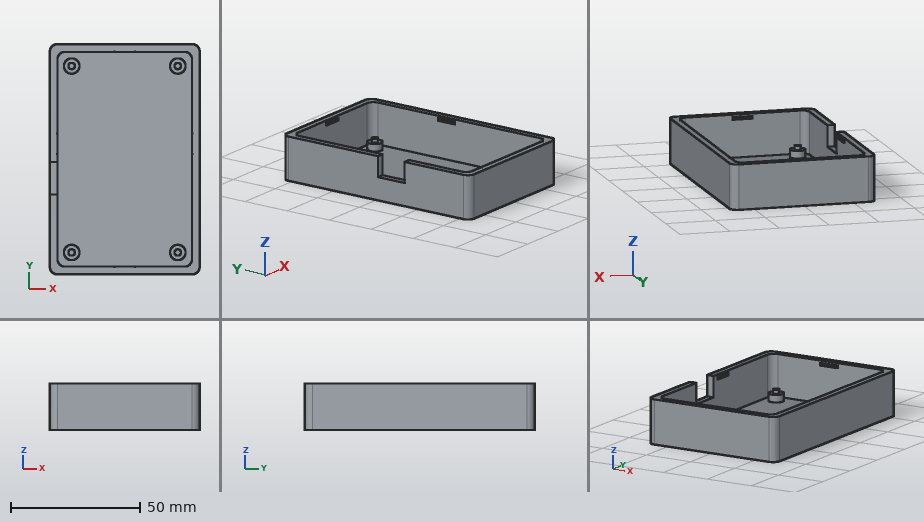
import cadquery as cq
length_x = 58.0
length_y = 89.0
height = 18.0
wall = 3.0
floor_thickness = 1.0
corner_radius = 3.0

inner_x = length_x - 2 * wall
inner_y = length_y - 2 * wall

standoff_inset = 8.5
standoff_diameter = 6.0
standoff_height = 3.0
pin_diameter = 2.5
pin_height = 1.5

notch_width = 12.6
notch_depth = 8.5
notch_center_y = -7.3

slot_length = 8.0
slot_height = 1.05
slot_depth = 0.8
slot_draft_angle = 15.0
slot_center_z = height - 1.5
side_slot_center_y = 6.0


def rounded_block(size_x, size_y, bottom_z, top_z):
    """Block centred on the Z axis with rounded vertical edges."""
    block = cq.Workplane("XY").workplane(offset=bottom_z).rect(size_x, size_y).extrude(top_z - bottom_z)
    return block.edges("|Z").fillet(corner_radius)


def make_tray():
    outside = rounded_block(length_x, length_y, 0, height)
    cavity = rounded_block(inner_x, inner_y, floor_thickness, height)
    return outside.cut(cavity)


def make_standoffs():
    spacing_x = length_x - 2 * standoff_inset
    spacing_y = length_y - 2 * standoff_inset
    floor = cq.Workplane("XY").workplane(offset=floor_thickness).rarray(spacing_x, spacing_y, 2, 2)
    posts = floor.circle(standoff_diameter / 2).extrude(standoff_height)
    pins = floor.circle(pin_diameter / 2).extrude(standoff_height + pin_height)
    return posts.union(pins)


def make_notch():
    notch = cq.Workplane("XY").box(wall, notch_width, notch_depth)
    return notch.translate(((wall - length_x) / 2, notch_center_y, height - notch_depth / 2))


def make_snap_slot(mouth_center, outward):
    """Slot with its mouth on an inner wall face, tapering along the outward direction."""
    along_wall = cq.Vector(*outward).cross(cq.Vector(0, 0, 1))
    mouth = cq.Workplane(cq.Plane(origin=mouth_center, xDir=along_wall, normal=outward))
    return mouth.rect(slot_length, slot_height).extrude(slot_depth, taper=slot_draft_angle)


def make_snap_slots():
    """One slot in each of the four walls."""
    slots = cq.Workplane("XY")
    for side in (-1, 1):
        slots = slots.union(
            make_snap_slot((side * inner_x / 2, side_slot_center_y, slot_center_z), (side, 0, 0))
        )
        slots = slots.union(make_snap_slot((0, side * inner_y / 2, slot_center_z), (0, side, 0)))
    return slots


result = make_tray().union(make_standoffs()).cut(make_notch()).cut(make_snap_slots())